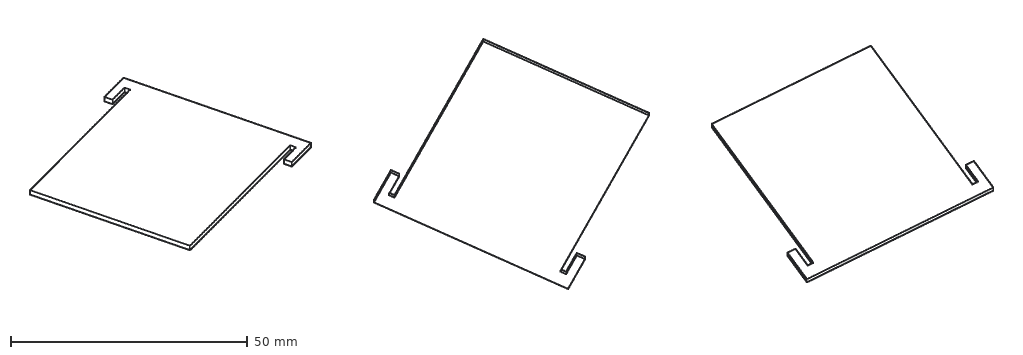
import cadquery as cq

overall_width = 46.05
overall_length = 44.8
thickness = 1.2

crossbar_depth = 3.0
arm_width = 2.0
arm_length = 8.0
slot_width = 1.4

half_width = overall_width / 2
arm_inner_x = half_width - arm_width
panel_half_width = arm_inner_x - slot_width
back_y = overall_length / 2
front_y = -back_y
slot_end_y = back_y - crossbar_depth
arm_tip_y = back_y - arm_length

right_side = [
    (half_width, back_y),
    (half_width, arm_tip_y),
    (arm_inner_x, arm_tip_y),
    (arm_inner_x, slot_end_y),
    (panel_half_width, slot_end_y),
    (panel_half_width, front_y),
]
left_side = [(-x, y) for x, y in reversed(right_side)]

result = (
    cq.Workplane("XY")
    .polyline(right_side + left_side)
    .close()
    .extrude(thickness / 2, both=True)
)